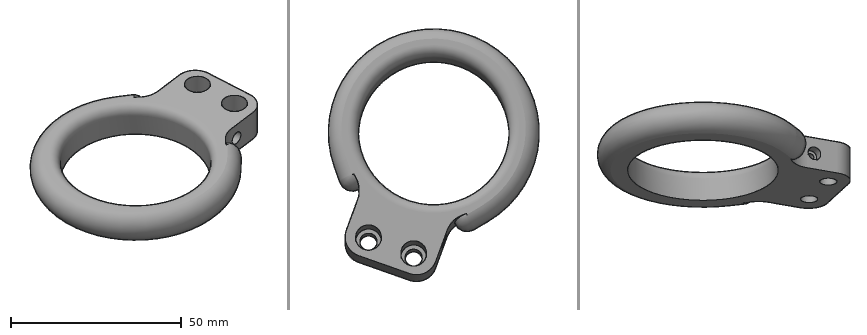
import cadquery as cq
import math

thickness = 10.0

bore_radius = 44.0 / 2
bore_fillet = 3.0
outer_radius = 30.9
rim_width = 3.9
core_radius = outer_radius - rim_width

rim_end_angle = 39.0
rim_straight_length = 4.95

tab_width = 27.8
tab_end_y = 43.0
tab_corner_radius = 6.0
neck_fillet = 7.8

mount_hole_diameter = 5.0
mount_counterbore_diameter = 7.5
mount_counterbore_depth = 6.0
mount_hole_spacing = 14.0
mount_hole_y = 36.9

cross_hole_diameter = 2.15
cross_counterbore_diameter = 4.0
cross_counterbore_depth = 2.95
cross_hole_y = 29.55


def rim_profile():
    """Ring section with flat faces and an arc bulging outwards."""
    return (
        cq.Workplane("XZ")
        .moveTo(bore_radius, 0)
        .lineTo(core_radius, 0)
        .threePointArc(
            (outer_radius, thickness / 2),
            (core_radius, thickness),
        )
        .lineTo(bore_radius, thickness)
        .close()
    )


def rim_sweep():
    """Ring sector with the bulging rim, open towards the tab."""
    return (
        rim_profile()
        .revolve(180 + 2 * rim_end_angle, (0, 0, 0), (0, 1, 0))
        .rotate((0, 0, 0), (0, 0, 1), 180 - rim_end_angle)
    )


def rim_end():
    """Straight run and half dome that finish the rim on the +X side."""
    straight = rim_profile().extrude(-rim_straight_length)
    dome = (
        cq.Workplane("XZ")
        .threePointArc((rim_width, thickness / 2), (0, thickness))
        .close()
        .revolve(180, (0, 0, 0), (0, 1, 0))
        .translate((core_radius, rim_straight_length, 0))
    )
    return straight.union(dome).rotate((0, 0, 0), (0, 0, 1), rim_end_angle)


def core():
    """Flat disc and tab, blended together by a concave fillet on each side."""
    half_width = tab_width / 2
    fillet_x = half_width + neck_fillet
    fillet_distance = core_radius + neck_fillet
    fillet_y = math.sqrt(fillet_distance**2 - fillet_x**2)
    disc_x = fillet_x * core_radius / fillet_distance
    disc_y = fillet_y * core_radius / fillet_distance
    half_turn = math.atan2(fillet_y, fillet_x) / 2
    mid_x = fillet_x - neck_fillet * math.cos(half_turn)
    mid_y = fillet_y - neck_fillet * math.sin(half_turn)

    tab = (
        cq.Workplane("XY")
        .moveTo(disc_x, disc_y)
        .threePointArc((mid_x, mid_y), (half_width, fillet_y))
        .lineTo(half_width, tab_end_y)
        .lineTo(-half_width, tab_end_y)
        .lineTo(-half_width, fillet_y)
        .threePointArc((-mid_x, mid_y), (-disc_x, disc_y))
        .lineTo(0, 0)
        .close()
        .extrude(thickness)
        .edges("|Z and >Y")
        .fillet(tab_corner_radius)
    )
    disc = cq.Workplane("XY").circle(core_radius).extrude(thickness)
    return disc.union(tab)


def bore():
    """Cutter for the bore, flared by a convex round at the upper edge."""
    mouth_radius = bore_radius + bore_fillet
    fillet_start_z = thickness - bore_fillet
    diagonal = bore_fillet * math.sqrt(0.5)
    return (
        cq.Workplane("XZ")
        .lineTo(bore_radius, 0)
        .lineTo(bore_radius, fillet_start_z)
        .threePointArc(
            (mouth_radius - diagonal, fillet_start_z + diagonal),
            (mouth_radius, thickness),
        )
        .lineTo(0, thickness)
        .close()
        .revolve(360, (0, 0, 0), (0, 1, 0))
    )


def mount_holes():
    """Cutters for the vertical holes, counterbored from the top."""
    centers = [
        (-mount_hole_spacing / 2, mount_hole_y),
        (mount_hole_spacing / 2, mount_hole_y),
    ]
    holes = (
        cq.Workplane("XY")
        .pushPoints(centers)
        .circle(mount_hole_diameter / 2)
        .extrude(thickness)
    )
    counterbores = (
        cq.Workplane("XY", origin=(0, 0, thickness))
        .pushPoints(centers)
        .circle(mount_counterbore_diameter / 2)
        .extrude(-mount_counterbore_depth)
    )
    return holes.union(counterbores)


def cross_hole():
    """Cutter for the hole along X with a counterbore in each tab side."""
    half_width = tab_width / 2
    cutter = (
        cq.Workplane("YZ", origin=(-half_width, cross_hole_y, thickness / 2))
        .circle(cross_hole_diameter / 2)
        .extrude(tab_width)
    )
    for side in (-1, 1):
        counterbore = (
            cq.Workplane("YZ", origin=(side * half_width, cross_hole_y, thickness / 2))
            .circle(cross_counterbore_diameter / 2)
            .extrude(-side * cross_counterbore_depth)
        )
        cutter = cutter.union(counterbore)
    return cutter


right_rim_end = rim_end()
result = (
    core()
    .union(rim_sweep())
    .union(right_rim_end)
    .union(right_rim_end.mirror("YZ"))
    .cut(bore())
    .cut(mount_holes())
    .cut(cross_hole())
)